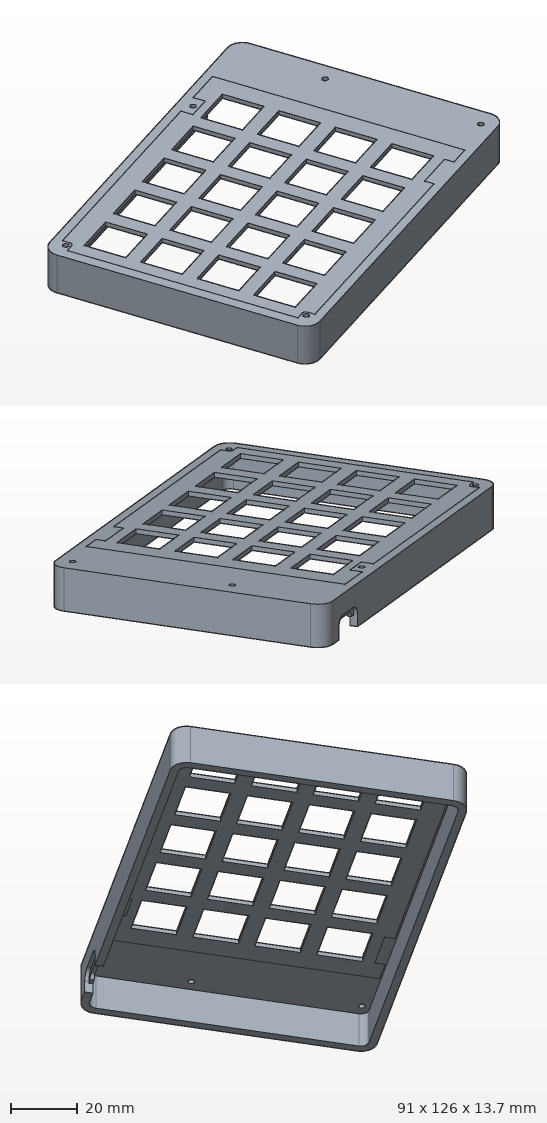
import cadquery as cq

WIDTH = 91.0
LENGTH = 126.0
HEIGHT = 13.7
CORNER_RADIUS = 5.0
WALL = 2.5
INNER_CORNER_RADIUS = CORNER_RADIUS - WALL
ROOF = 1.5

OPENING_HALF_WIDTH = WIDTH / 2 - 3.0
OPENING_TOP = 42.3
OPENING_BOTTOM = -LENGTH / 2 + 3.5

SCREW_DIAMETER = 1.9
SCREW_X = WIDTH / 2 - 5.0
SCREW_TOP_Y = LENGTH / 2 - 6.3
SCREW_BOTTOM_Y = -LENGTH / 2 + 5.8
SCREW_INNER_X = -12.0
SCREW_LEFT_Y = 25.7
LEFT_TAB_REACH = 4.0
LEFT_TAB_LENGTH = 8.1
RIGHT_TAB_REACH = 3.2
RIGHT_TAB_LENGTH = 13.0
RIGHT_TAB_Y = 28.7
CORNER_TAB_REACH = 3.7
CORNER_TAB_LENGTH = 4.0
CORNER_TAB_RADIUS = 1.3

KEY_COLUMNS = 4
KEY_ROWS = 5
KEY_PITCH = 19.0
KEY_SIZE = 14.0
KEY_CENTRE_Y = -9.7

PORT_Y = 46.7
PORT_WIDTH = 13.5
PORT_HEIGHT = 7.0
PORT_RADIUS = 3.0
PORT_RECESS_DEPTH = 1.3
PORT_STEP_HEIGHT = 3.5
PORT_INNER_WIDTH = 10.1
PORT_INNER_HEIGHT = 5.3
PORT_INNER_RADIUS = 1.3


def block(x_min, x_max, y_min, y_max, z_min, z_max):
    """Box given by its limits along each axis."""
    size = (x_max - x_min, y_max - y_min, z_max - z_min)
    return cq.Workplane("XY").box(*size, centered=False).translate((x_min, y_min, z_min))


def make_plate_outline():
    """Key plate without its windows; the same shape is the opening in the roof."""
    z_min = HEIGHT - ROOF
    left = -OPENING_HALF_WIDTH
    right = OPENING_HALF_WIDTH

    outline = block(left, right, OPENING_BOTTOM, OPENING_TOP, z_min, HEIGHT)
    left_tab = block(
        left, left + LEFT_TAB_REACH,
        SCREW_LEFT_Y - LEFT_TAB_LENGTH / 2, SCREW_LEFT_Y + LEFT_TAB_LENGTH / 2,
        z_min, HEIGHT,
    )
    right_tab = block(
        right - RIGHT_TAB_REACH, right,
        RIGHT_TAB_Y - RIGHT_TAB_LENGTH / 2, RIGHT_TAB_Y + RIGHT_TAB_LENGTH / 2,
        z_min, HEIGHT,
    )
    corner_top = OPENING_BOTTOM + CORNER_TAB_LENGTH
    left_corner = block(
        left, left + CORNER_TAB_REACH, OPENING_BOTTOM, corner_top, z_min, HEIGHT
    ).edges("|Z and >X and >Y").fillet(CORNER_TAB_RADIUS)
    right_corner = left_corner.mirror("YZ")
    return outline.cut(left_tab).cut(right_tab).cut(left_corner).cut(right_corner)


def make_port():
    """Cutter for the stepped connector port in the -X wall."""
    outside = -WIDTH / 2
    inside = outside + WALL
    y_min = PORT_Y - PORT_WIDTH / 2
    y_max = PORT_Y + PORT_WIDTH / 2
    recess = (
        block(outside, outside + PORT_RECESS_DEPTH, y_min, y_max, 0, PORT_HEIGHT)
        .edges("|X and >Z").fillet(PORT_RADIUS)
    )
    arch = (
        block(
            outside, inside,
            PORT_Y - PORT_INNER_WIDTH / 2, PORT_Y + PORT_INNER_WIDTH / 2,
            0, PORT_INNER_HEIGHT,
        )
        .edges("|X and >Z").fillet(PORT_INNER_RADIUS)
    )
    slot = block(outside, inside, y_min, y_max, 0, PORT_STEP_HEIGHT)
    return recess.union(arch).union(slot)


def make_housing():
    """Walls and roof, with the plate opening, screw holes and connector port."""
    body = (
        cq.Workplane("XY").rect(WIDTH, LENGTH).extrude(HEIGHT)
        .edges("|Z").fillet(CORNER_RADIUS)
    )
    cavity = (
        cq.Workplane("XY").rect(WIDTH - 2 * WALL, LENGTH - 2 * WALL).extrude(HEIGHT - ROOF)
        .edges("|Z").fillet(INNER_CORNER_RADIUS)
    )
    screw_points = [
        (SCREW_INNER_X, SCREW_TOP_Y),
        (SCREW_X, SCREW_TOP_Y),
        (-SCREW_X, SCREW_LEFT_Y),
        (-SCREW_X, SCREW_BOTTOM_Y),
        (SCREW_X, SCREW_BOTTOM_Y),
    ]
    screw_holes = (
        cq.Workplane("XY").pushPoints(screw_points).circle(SCREW_DIAMETER / 2).extrude(HEIGHT)
    )
    return body.cut(cavity).cut(make_plate_outline()).cut(screw_holes).cut(make_port())


def make_key_plate():
    """Plate flush with the roof, with a grid of square key windows."""
    windows = (
        cq.Workplane("XY").center(0, KEY_CENTRE_Y)
        .rarray(KEY_PITCH, KEY_PITCH, KEY_COLUMNS, KEY_ROWS)
        .rect(KEY_SIZE, KEY_SIZE).extrude(HEIGHT)
    )
    return make_plate_outline().cut(windows)


housing = make_housing()
key_plate = make_key_plate()
result = cq.Compound.makeCompound([housing.val(), key_plate.val()])